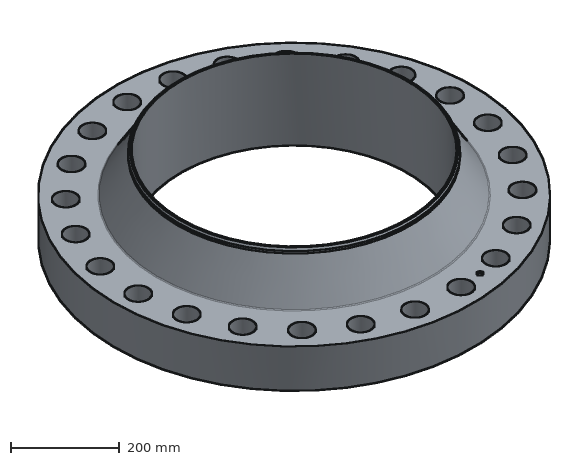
import cadquery as cq
import math

flange_diameter = 940.0
flange_thickness = 101.5

face_diameter = 691.5
face_height = 7.0

total_height = 209.5
hub_base_diameter = 717.0
hub_root_fillet = 3.0
neck_diameter = 610.0
neck_height = 11.0
bore_diameter = 596.0
bevel_width = 4.0
bevel_height = 6.0

bolt_count = 24
bolt_circle_diameter = 838.0
bolt_hole_diameter = 51.0

small_hole_diameter = 9.0
small_hole_depth = flange_thickness / 2
small_hole_chamfer = 2.0
drill_tip_angle = 118
small_hole_angle = 360 / bolt_count / 2

flange_bottom = face_height
flange_top = flange_bottom + flange_thickness


def make_body():
    """Revolve the half section of the flange, hub and raised face about Z."""
    bore_radius = bore_diameter / 2
    face_radius = face_diameter / 2
    flange_radius = flange_diameter / 2
    neck_radius = neck_diameter / 2
    section = [
        (bore_radius, 0),
        (face_radius, 0),
        (face_radius, flange_bottom),
        (flange_radius, flange_bottom),
        (flange_radius, flange_top),
        (hub_base_diameter / 2, flange_top),
        (neck_radius, total_height - neck_height),
        (neck_radius, total_height - bevel_height),
        (neck_radius - bevel_width, total_height),
        (bore_radius, total_height),
    ]
    body = cq.Workplane("XZ").polyline(section).close().revolve(360, (0, 0, 0), (0, 1, 0))
    hub_root = cq.selectors.RadiusNthSelector(-2)
    return body.edges(hub_root).fillet(hub_root_fillet)


def make_bolt_holes():
    """Cylinders through the flange on the bolt circle."""
    return (
        cq.Workplane("XY")
        .workplane(offset=flange_bottom)
        .polarArray(bolt_circle_diameter / 2, 0, 360, bolt_count)
        .circle(bolt_hole_diameter / 2)
        .extrude(flange_thickness)
    )


def make_small_hole():
    """Chamfered blind hole with a conical tip, sunk from the flange top on the bolt circle."""
    radius = small_hole_diameter / 2
    wall_bottom = flange_top - small_hole_depth
    tip_height = radius / math.tan(math.radians(drill_tip_angle / 2))
    section = [
        (0, flange_top),
        (radius + small_hole_chamfer, flange_top),
        (radius, flange_top - small_hole_chamfer),
        (radius, wall_bottom),
        (0, wall_bottom - tip_height),
    ]
    drill = cq.Workplane("XZ").polyline(section).close().revolve(360, (0, 0, 0), (0, 1, 0))
    placed_drill = drill.translate((bolt_circle_diameter / 2, 0, 0))
    return placed_drill.rotate((0, 0, 0), (0, 0, 1), small_hole_angle)


result = make_body().cut(make_bolt_holes()).cut(make_small_hole())